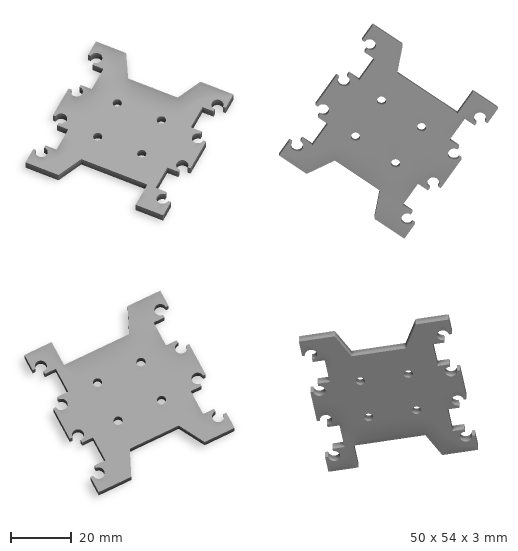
import cadquery as cq

width = 50.0
length = 54.0
thickness = 3.0
half_width = width / 2
half_length = length / 2

end_cutout_depth = 9.0
sloped_leg_root_width = 16.0
back_left_leg_tip_width = 11.0
back_right_leg_tip_width = 12.0
front_left_leg_tip_width = 12.0
front_right_leg_width = 10.0

notch_center_y = 13.5
notch_mouth_length = 15.0
notch_mouth_depth = 3.0
notch_floor_length = 9.0
notch_total_depth = 7.0
relief_diameter = 4.0

hole_diameter = 3.0
hole_spacing_x = 16.0
hole_spacing_y = 15.0


def make_plate():
    """Plate outline with the end cutouts already taken out."""
    cutout_y = half_length - end_cutout_depth
    outline = [
        (-half_width, -half_length),
        (-half_width + front_left_leg_tip_width, -half_length),
        (-half_width + sloped_leg_root_width, -cutout_y),
        (half_width - front_right_leg_width, -cutout_y),
        (half_width - front_right_leg_width, -half_length),
        (half_width, -half_length),
        (half_width, half_length),
        (half_width - back_right_leg_tip_width, half_length),
        (half_width - sloped_leg_root_width, cutout_y),
        (-half_width + sloped_leg_root_width, cutout_y),
        (-half_width + back_left_leg_tip_width, half_length),
        (-half_width, half_length),
    ]
    return cq.Workplane("XY").polyline(outline).close().extrude(thickness)


def make_notch(side, center_y):
    """Cutting body of one notch; side is -1 for the left edge, +1 for the right."""
    edge_x = side * half_width
    mouth = (
        cq.Workplane("XY")
        .center(edge_x, center_y)
        .rect(2 * notch_mouth_depth, notch_mouth_length)
        .extrude(thickness)
    )
    floor = (
        cq.Workplane("XY")
        .center(edge_x, center_y)
        .rect(2 * notch_total_depth, notch_floor_length)
        .extrude(thickness)
    )
    relief_x = edge_x - side * notch_mouth_depth
    relief_offset = notch_mouth_length / 2
    reliefs = (
        cq.Workplane("XY")
        .pushPoints([(relief_x, center_y - relief_offset), (relief_x, center_y + relief_offset)])
        .circle(relief_diameter / 2)
        .extrude(thickness)
    )
    return mouth.union(floor).union(reliefs)


def make_mounting_holes():
    """Cutting bodies of the four mounting holes."""
    return (
        cq.Workplane("XY")
        .rect(hole_spacing_x, hole_spacing_y, forConstruction=True)
        .vertices()
        .circle(hole_diameter / 2)
        .extrude(thickness)
    )


result = make_plate()
for side in (-1, 1):
    for center_y in (-notch_center_y, notch_center_y):
        result = result.cut(make_notch(side, center_y))
result = result.cut(make_mounting_holes())